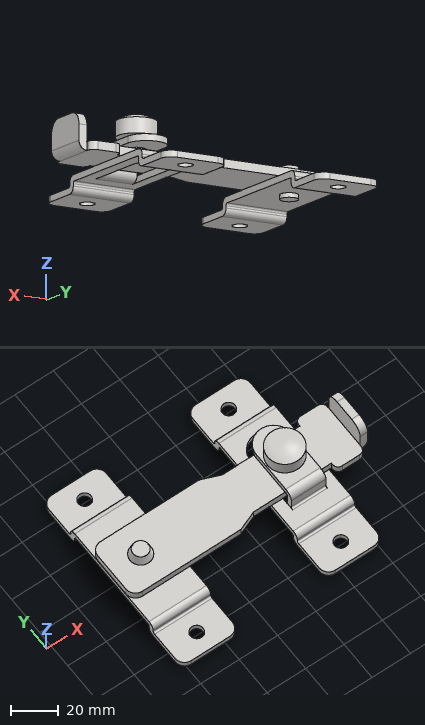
import cadquery as cq
import math


diagonal = math.sqrt(0.5)

sheet = 3.0
base_length = 100
base_width = 30
base_corner = 5
base_spacing = 75
raised_top = 8.0
raised_bottom = raised_top - sheet
wall_outer = 29.5
wall_inner = wall_outer - sheet
step_outer_radius = 3.0
step_inner_radius = 1.0
screw_hole = 6.5
screw_hole_y = 40

strap_width = 18.0
strap_radius = strap_width / 2
strap_reach = 17.0
strap_top = 18.1
strap_bottom = strap_top - sheet
strap_inner_radius = 1.0
strap_outer_radius = strap_inner_radius + sheet
slot_tip = 21.0

bar = 4.0
clearance = 0.4
bar_bottom = raised_top + clearance
bar_top = bar_bottom + bar
bar_half = 15
neck_half = 11.2
bar_left = -base_width / 2
bar_corner = 5
taper_start = 41.2
taper_end = 50.6
paddle_start = 91.0
paddle_corner = 3.0
overall_length = 125
bar_right = bar_left + overall_length
paddle_end = bar_right - bar
tab_top = 25.5
tab_corner = 6.0

shank_radius = 4.0
rivet_bottom = 3.0
rivet_head_bottom = bar_top + clearance
rivet_top = 17.0
rivet_flare_radius = 5.5
knob_radius = 9.0
knob_bottom = 20.1
knob_rim = 27.1
knob_top = 30


def make_base():
    """Bent strip with a raised middle and two screw feet, centred on the Z axis."""
    half = base_length / 2
    profile = (
        cq.Workplane("YZ")
        .moveTo(-half, 0)
        .lineTo(-wall_inner, 0)
        .lineTo(-wall_inner, raised_bottom)
        .lineTo(wall_inner, raised_bottom)
        .lineTo(wall_inner, 0)
        .lineTo(half, 0)
        .lineTo(half, sheet)
        .lineTo(wall_outer, sheet)
        .lineTo(wall_outer, raised_top)
        .lineTo(-wall_outer, raised_top)
        .lineTo(-wall_outer, sheet)
        .lineTo(-half, sheet)
        .close()
    )
    base = profile.extrude(base_width / 2, both=True)
    for side in (-1, 1):
        base = round_step(base, side * wall_inner, 0, step_outer_radius)
        base = round_step(base, side * wall_outer, raised_top, step_outer_radius)
        base = round_step(base, side * wall_inner, raised_bottom, step_inner_radius)
        base = round_step(base, side * wall_outer, sheet, step_inner_radius)
    base = base.edges("|Z and (<Y or >Y)").fillet(base_corner)
    holes = (
        cq.Workplane("XY")
        .pushPoints([(0, -screw_hole_y), (0, screw_hole_y)])
        .circle(screw_hole / 2)
        .extrude(sheet)
    )
    return base.cut(holes)


def round_step(body, y, z, radius):
    """Fillet the edge that runs along X through the given Y and Z."""
    nearest = cq.selectors.NearestToPointSelector((0, y, z))
    return body.edges("|X").edges(nearest).fillet(radius)


def make_pivot_base():
    """Base with the rivet hole."""
    hole = cq.Workplane("XY").workplane(offset=raised_bottom).circle(shank_radius).extrude(sheet)
    return make_base().cut(hole)


def round_ended_block(y_start, y_tip, z_bottom, z_top):
    """Strap-wide block with a square end at y_start and a round tip in +Y."""
    y_straight = y_tip - strap_radius
    return (
        cq.Workplane("XY")
        .workplane(offset=z_bottom)
        .moveTo(-strap_radius, y_start)
        .lineTo(strap_radius, y_start)
        .lineTo(strap_radius, y_straight)
        .threePointArc((0, y_tip), (-strap_radius, y_straight))
        .close()
        .extrude(z_top - z_bottom)
    )


def make_strap():
    """Strap that bends up out of the raised sheet and back over the latch bar."""
    wall_y = -strap_reach
    toe_y = wall_y - strap_inner_radius
    toe_centre_z = raised_top + strap_inner_radius
    bend_y = wall_y + strap_outer_radius
    bend_z = strap_top - strap_outer_radius
    outer_drop = strap_outer_radius * diagonal
    inner_drop = strap_inner_radius * diagonal
    profile = (
        cq.Workplane("YZ")
        .moveTo(toe_y, raised_bottom)
        .threePointArc(
            (toe_y + outer_drop, toe_centre_z - outer_drop),
            (toe_y + strap_outer_radius, toe_centre_z),
        )
        .lineTo(wall_y + sheet, bend_z)
        .threePointArc((bend_y - inner_drop, bend_z + inner_drop), (bend_y, strap_bottom))
        .lineTo(strap_reach, strap_bottom)
        .lineTo(strap_reach, strap_top)
        .lineTo(bend_y, strap_top)
        .threePointArc((bend_y - outer_drop, bend_z + outer_drop), (wall_y, bend_z))
        .lineTo(wall_y, toe_centre_z)
        .threePointArc((toe_y + inner_drop, toe_centre_z - inner_drop), (toe_y, raised_top))
        .close()
    )
    outline = round_ended_block(toe_y, strap_reach, raised_bottom, strap_top)
    hole = cq.Workplane("XY").workplane(offset=strap_bottom).circle(shank_radius).extrude(sheet)
    return profile.extrude(strap_radius, both=True).intersect(outline).cut(hole)


def make_keeper_base():
    """Base with the slot left by the strap, and the strap itself."""
    slot_start = -strap_reach - strap_inner_radius
    slot = round_ended_block(slot_start, slot_tip, raised_bottom, raised_top)
    keeper = make_base().cut(slot).union(make_strap())
    return keeper.translate((base_spacing, 0, 0))


def make_latch_bar():
    """Flat bar with a narrowed neck, a paddle and an upturned end tab."""
    bar_length_to_taper = taper_start - bar_left
    head = (
        cq.Workplane("XY")
        .box(bar_length_to_taper, 2 * bar_half, bar, centered=(False, True, False))
        .translate((bar_left, 0, bar_bottom))
        .edges("|Z and <X")
        .fillet(bar_corner)
    )
    neck = (
        cq.Workplane("XY")
        .workplane(offset=bar_bottom)
        .moveTo(taper_start, -bar_half)
        .lineTo(taper_end, -neck_half)
        .lineTo(paddle_start, -neck_half)
        .lineTo(paddle_start, neck_half)
        .lineTo(taper_end, neck_half)
        .lineTo(taper_start, bar_half)
        .close()
        .extrude(bar)
    )
    paddle = (
        cq.Workplane("XY")
        .box(paddle_end - paddle_start, 2 * bar_half, bar, centered=(False, True, False))
        .translate((paddle_start, 0, bar_bottom))
        .edges("|Z")
        .fillet(paddle_corner)
    )
    tab = (
        cq.Workplane("XY")
        .box(bar, 2 * neck_half, tab_top - bar_bottom, centered=(False, True, False))
        .translate((paddle_end, 0, bar_bottom))
        .edges("|X and >Z")
        .fillet(tab_corner)
    )
    bend_corner = (
        cq.Workplane("XZ")
        .moveTo(paddle_end, bar_bottom)
        .threePointArc(
            (paddle_end + bar * diagonal, bar_top - bar * diagonal),
            (bar_right, bar_top),
        )
        .lineTo(bar_right, bar_bottom)
        .close()
        .extrude(neck_half, both=True)
    )
    hole = cq.Workplane("XY").workplane(offset=bar_bottom).circle(shank_radius).extrude(bar)
    return head.union(neck).union(paddle).union(tab).cut(bend_corner).cut(hole)


def make_rivet():
    """Pivot rivet: a straight shank with a conical head just above the latch bar."""
    return (
        cq.Workplane("XZ")
        .moveTo(0, rivet_bottom)
        .lineTo(shank_radius, rivet_bottom)
        .lineTo(shank_radius, rivet_head_bottom)
        .lineTo(rivet_flare_radius, rivet_head_bottom)
        .lineTo(shank_radius, rivet_top)
        .lineTo(0, rivet_top)
        .close()
        .revolve(360, (0, 0, 0), (0, 1, 0))
    )


def make_knob():
    """Domed knob whose shank passes through the strap and rests on the latch bar."""
    dome_height = knob_top - knob_rim
    dome_radius = (knob_radius**2 + dome_height**2) / (2 * dome_height)
    mid_radius = knob_radius / 2
    mid_height = knob_top - dome_radius + math.sqrt(dome_radius**2 - mid_radius**2)
    knob = (
        cq.Workplane("XZ")
        .moveTo(0, bar_top)
        .lineTo(shank_radius, bar_top)
        .lineTo(shank_radius, knob_bottom)
        .lineTo(knob_radius, knob_bottom)
        .lineTo(knob_radius, knob_rim)
        .threePointArc((mid_radius, mid_height), (0, knob_top))
        .close()
        .revolve(360, (0, 0, 0), (0, 1, 0))
    )
    return knob.translate((base_spacing, 0, 0))


pivot_base = make_pivot_base()
keeper_base = make_keeper_base()
latch_bar = make_latch_bar()
rivet = make_rivet()
knob = make_knob()

result = cq.Compound.makeCompound(
    [pivot_base.val(), keeper_base.val(), latch_bar.val(), rivet.val(), knob.val()]
)